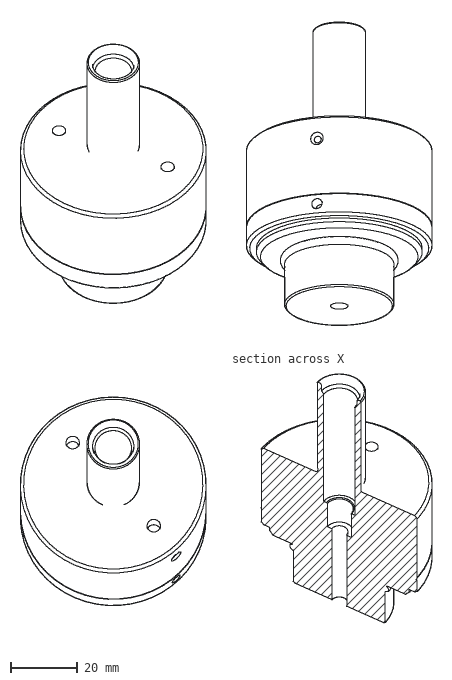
import cadquery as cq
import math

total_height = 89.0
flange_bottom = 16.0
body_bottom = 18.7
body_top = 51.0
joint_height = 25.5

body_radius = 56.0 / 2
body_chamfer_width = 1.0
body_chamfer_height = 0.8
joint_groove_depth = 0.1
joint_groove_half_width = 0.1

flange_radius = 50.0 / 2
flange_chamfer_width = 1.25
flange_chamfer_height = 1.5

spigot_radius = 33.0 / 2
spigot_chamfer = 0.5
ring_cord_radius = 2.5 / 2
ring_seat_radius = 28.5 / 2

shaft_radius = 15.88 / 2
shaft_tip_chamfer = 0.4
neck_radius = 15.58 / 2
neck_fillet = 0.65
neck_top = body_top + 1.5
neck_taper_height = 0.5

mouth_radius = 12.5 / 2
mouth_rounding = 1.0
mouth_depth = 3.0
bore_taper_height = 0.95
bore_radius = 11.0 / 2
bore_floor = 40.0
step_radius = 9.0 / 2
step_chamfer = 0.3
step_floor = 30.0
through_radius = 5.2 / 2

pin_hole_diameter = 4.0
pin_hole_spacing = 36.0
pin_hole_depth = 5.0

side_hole_height = 43.6
side_hole_radius = 2.11 / 2
side_hole_depth = 6.0
side_sink_radius = 4.0 / 2
side_sink_depth = side_sink_radius - side_hole_radius
drill_hole_height = 22.5
drill_hole_radius = 3.2 / 2
drill_hole_depth = 5.0
drill_tip_half_angle = 60.0
drill_tip_length = drill_hole_radius / math.tan(math.radians(drill_tip_half_angle))


def revolve_about_z(profile):
    """Revolve a closed half profile, drawn as (radius, height), about Z."""
    return profile.close().revolve(360, (0, 0, 0), (0, 1, 0))


def make_outside():
    """Spigot, flange, body, neck and shaft as one solid of revolution."""
    fillet_drop = neck_fillet * (1 - math.sqrt(0.5))
    profile = (
        cq.Workplane("XZ")
        .moveTo(0, 0)
        .lineTo(spigot_radius - spigot_chamfer, 0)
        .lineTo(spigot_radius, spigot_chamfer)
        .lineTo(spigot_radius, flange_bottom)
        .lineTo(flange_radius - flange_chamfer_width, flange_bottom)
        .lineTo(flange_radius, flange_bottom + flange_chamfer_height)
        .lineTo(flange_radius, body_bottom)
        .lineTo(body_radius - body_chamfer_width, body_bottom)
        .lineTo(body_radius, body_bottom + body_chamfer_height)
        .lineTo(body_radius, joint_height - joint_groove_half_width)
        .lineTo(body_radius - joint_groove_depth, joint_height)
        .lineTo(body_radius, joint_height + joint_groove_half_width)
        .lineTo(body_radius, body_top - body_chamfer_height)
        .lineTo(body_radius - body_chamfer_width, body_top)
        .lineTo(neck_radius + neck_fillet, body_top)
        .threePointArc(
            (neck_radius + fillet_drop, body_top + fillet_drop),
            (neck_radius, body_top + neck_fillet),
        )
        .lineTo(neck_radius, neck_top)
        .lineTo(shaft_radius, neck_top + neck_taper_height)
        .lineTo(shaft_radius, total_height - shaft_tip_chamfer)
        .lineTo(shaft_radius - shaft_tip_chamfer, total_height)
        .lineTo(0, total_height)
    )
    return revolve_about_z(profile)


def make_ring():
    """O-ring around the spigot, touching the underside of the flange."""
    profile = (
        cq.Workplane("XZ")
        .moveTo(ring_seat_radius, flange_bottom)
        .lineTo(spigot_radius, flange_bottom)
        .threePointArc(
            (spigot_radius + ring_cord_radius, flange_bottom - ring_cord_radius),
            (spigot_radius, flange_bottom - 2 * ring_cord_radius),
        )
        .lineTo(ring_seat_radius, flange_bottom - 2 * ring_cord_radius)
    )
    return revolve_about_z(profile)


def make_bore():
    """Rounded mouth, tapered seat, two bore steps and the through hole."""
    rounding_inset = mouth_rounding * (1 - math.sqrt(0.5))
    taper_top = total_height - mouth_depth
    profile = (
        cq.Workplane("XZ")
        .moveTo(0, 0)
        .lineTo(through_radius, 0)
        .lineTo(through_radius, step_floor)
        .lineTo(step_radius - step_chamfer, step_floor)
        .lineTo(step_radius - step_chamfer, bore_floor - step_chamfer)
        .lineTo(step_radius, bore_floor)
        .lineTo(bore_radius, bore_floor)
        .lineTo(bore_radius, taper_top - bore_taper_height)
        .lineTo(mouth_radius, taper_top)
        .lineTo(mouth_radius, total_height - mouth_rounding)
        .threePointArc(
            (mouth_radius + rounding_inset, total_height - rounding_inset),
            (mouth_radius + mouth_rounding, total_height),
        )
        .lineTo(0, total_height)
    )
    return revolve_about_z(profile)


def make_pin_holes():
    """Pair of blind holes on the X axis, sunk from the body top."""
    return (
        cq.Workplane("XY", origin=(0, 0, body_top))
        .pushPoints([(-pin_hole_spacing / 2, 0), (pin_hole_spacing / 2, 0)])
        .circle(pin_hole_diameter / 2)
        .extrude(-pin_hole_depth)
    )


def make_side_cylinder(height, radius, depth):
    """Cylinder entering the -X side of the body."""
    return cq.Workplane("YZ", origin=(-body_radius, 0, height)).circle(radius).extrude(depth)


def make_side_cone(height, radius, tip_radius, start_depth, length):
    """Cone along +X from start_depth inside the -X side, narrowing to tip_radius."""
    start = cq.Vector(start_depth - body_radius, 0, height)
    return cq.Workplane(cq.Solid.makeCone(radius, tip_radius, length, start, cq.Vector(1, 0, 0)))


def make_sunk_hole():
    """Countersunk blind hole in the upper part of the body."""
    sink = make_side_cone(side_hole_height, side_sink_radius, side_hole_radius, 0, side_sink_depth)
    return sink.union(make_side_cylinder(side_hole_height, side_hole_radius, side_hole_depth))


def make_drill_hole():
    """Blind hole with a pointed drill tip, below the joint groove."""
    shank = make_side_cylinder(drill_hole_height, drill_hole_radius, drill_hole_depth)
    tip = make_side_cone(drill_hole_height, drill_hole_radius, 0, drill_hole_depth, drill_tip_length)
    return shank.union(tip)


result = (
    make_outside()
    .union(make_ring())
    .cut(make_bore())
    .cut(make_pin_holes())
    .cut(make_sunk_hole())
    .cut(make_drill_hole())
)